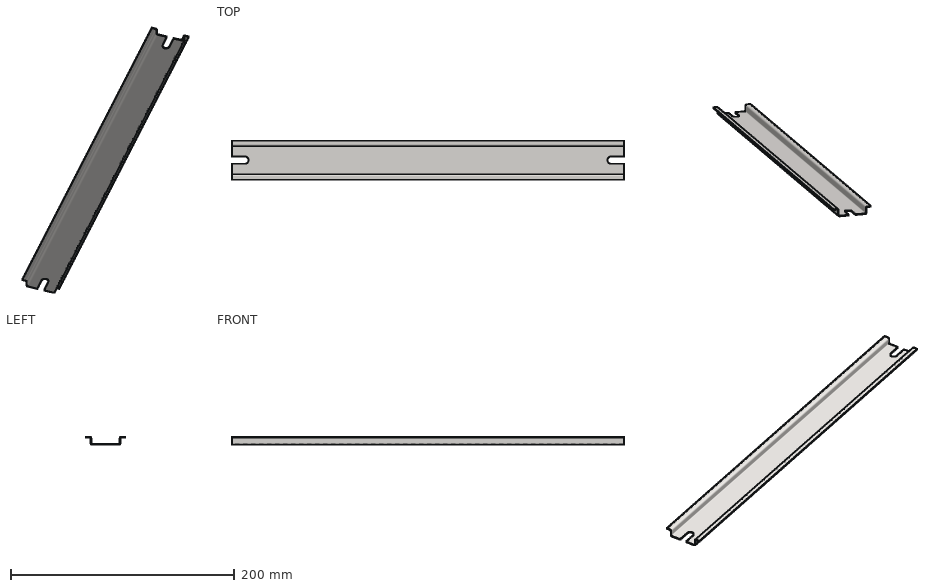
import cadquery as cq

length = 351.0
width = 35.0
height = 7.5
thickness = 1.0
channel_width = 27.0
inner_radius = 0.8
outer_radius = inner_radius + thickness

slot_width = 6.3
slot_depth = 14.7


def rail_section():
    """Closed top-hat outline with sharp corners, in the YZ plane."""
    outer_wall = channel_width / 2
    inner_wall = outer_wall - thickness
    lip = width / 2
    lip_underside = height - thickness
    right_half = [
        (outer_wall, 0),
        (outer_wall, lip_underside),
        (lip, lip_underside),
        (lip, height),
        (inner_wall, height),
        (inner_wall, thickness),
    ]
    left_half = [(-y, z) for y, z in reversed(right_half)]
    return cq.Workplane("YZ").polyline(right_half + left_half).close()


def bend_edges(body, half_width, z):
    """Pick the pair of lengthwise edges at Y = +/-half_width and height z."""
    margin = thickness / 4
    edges = body.edges("|X")
    for side in (-1, 1):
        y = side * half_width
        box = cq.selectors.BoxSelector(
            (-length, y - margin, z - margin), (length, y + margin, z + margin)
        )
        picked = edges.edges(box)
        edge_pair = picked if side == -1 else edge_pair.add(picked)
    return edge_pair


def round_bends(body):
    """Round both faces of the sheet at the floor bends and the lip bends."""
    outer_wall = channel_width / 2
    inner_wall = outer_wall - thickness
    bends = [
        (outer_wall, 0, outer_radius),
        (inner_wall, thickness, inner_radius),
        (inner_wall, height, outer_radius),
        (outer_wall, height - thickness, inner_radius),
    ]
    for half_width, z, radius in bends:
        body = bend_edges(body, half_width, z).fillet(radius)
    return body


def end_slots():
    """Cutters for the round-bottomed slots, one open at each rail end."""
    return (
        cq.Workplane("XY")
        .pushPoints([(-length / 2, 0), (length / 2, 0)])
        .slot2D(2 * slot_depth, slot_width)
        .extrude(height)
    )


rail = rail_section().extrude(length / 2, both=True)
result = round_bends(rail).cut(end_slots())